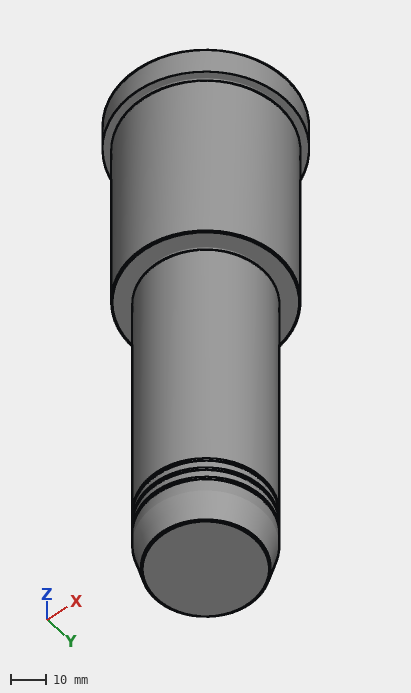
import cadquery as cq

total_length = 191.0
head_height = 10.0
body_bottom = 115.0
taper_height = 10.0
body_top = total_length - head_height

head_radius = 59.0 / 2
body_radius = 54.0 / 2
shaft_radius = 42.0 / 2
tip_radius = 36.9 / 2

head_chamfer = 0.5
body_chamfer = 0.4
tip_chamfer = 0.4

groove_radius = 0.5
ring_groove_count = 3
ring_groove_pitch = 4.0
lowest_ring_groove_height = 15.5


def cylinder(radius, bottom, top):
    return cq.Workplane("XY").workplane(offset=bottom).circle(radius).extrude(top - bottom)


def groove_cutter(surface_radius, height):
    """Ring of round section, centred on a cylinder's surface at the given height."""
    return (
        cq.Workplane("XZ")
        .center(surface_radius, height)
        .circle(groove_radius)
        .revolve(360, (-surface_radius, 0), (-surface_radius, 1))
    )


tip = (
    cq.Workplane("XY")
    .circle(tip_radius)
    .workplane(offset=taper_height)
    .circle(shaft_radius)
    .loft(ruled=True)
    .faces("<Z")
    .chamfer(tip_chamfer)
)

shaft = cylinder(shaft_radius, taper_height, body_bottom)
body = cylinder(body_radius, body_bottom, body_top).faces("<Z").chamfer(body_chamfer)
head = cylinder(head_radius, body_top, total_length).faces(">Z").chamfer(head_chamfer)
result = tip.union(shaft).union(body).union(head)

for index in range(ring_groove_count):
    height = lowest_ring_groove_height + index * ring_groove_pitch
    result = result.cut(groove_cutter(shaft_radius, height))

result = result.cut(groove_cutter(body_radius, body_top - groove_radius))
result = result.cut(groove_cutter(shaft_radius, body_bottom - groove_radius))